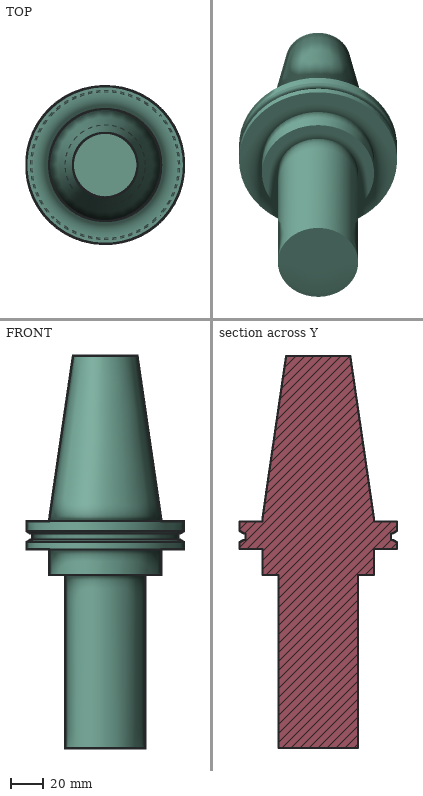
import cadquery as cq
import math


gauge_diameter = 69.85
taper_length = 101.6
taper_ratio = 7 / 24
small_end_diameter = gauge_diameter - taper_ratio * taper_length

flange_diameter = 98.43
flange_top_z = -1.5
flange_bottom_z = -19.05
groove_floor_diameter = 91.29
groove_shoulder_diameter = 93.0
groove_centre_z = -11.1
groove_mouth_width = 7.0
groove_flank_angle = 30

collar_diameter = gauge_diameter
collar_bottom_z = -35.0
shaft_diameter = 50.0
shaft_bottom_z = -143.0


def cylinder(diameter, bottom_z, top_z):
    """Solid cylinder about Z between two heights."""
    return cq.Workplane("XY").workplane(offset=bottom_z).circle(diameter / 2).extrude(top_z - bottom_z)


def revolve_about_z(profile):
    """Full turn about Z of a closed (radius, height) outline."""
    return cq.Workplane("XZ").polyline(profile).close().revolve(360, (0, 0), (0, 1))


def taper_shank():
    """Cone narrowing upward from the gauge plane."""
    gauge_radius = gauge_diameter / 2
    small_radius = small_end_diameter / 2
    profile = [(0, 0), (gauge_radius, 0), (small_radius, taper_length), (0, taper_length)]
    return revolve_about_z(profile)


def flange_groove():
    """Ring cut from the flange rim: sloping flanks, then flat shoulders down to the floor."""
    floor_radius = groove_floor_diameter / 2
    shoulder_radius = groove_shoulder_diameter / 2
    rim_radius = flange_diameter / 2
    flank_height = (rim_radius - shoulder_radius) * math.tan(math.radians(groove_flank_angle))
    mouth_half = groove_mouth_width / 2
    floor_half = mouth_half - flank_height
    profile = [
        (floor_radius, groove_centre_z - floor_half),
        (shoulder_radius, groove_centre_z - floor_half),
        (rim_radius, groove_centre_z - mouth_half),
        (rim_radius, groove_centre_z + mouth_half),
        (shoulder_radius, groove_centre_z + floor_half),
        (floor_radius, groove_centre_z + floor_half),
    ]
    return revolve_about_z(profile)


flange = cylinder(flange_diameter, flange_bottom_z, flange_top_z).cut(flange_groove())
neck = cylinder(gauge_diameter, flange_top_z, 0)
collar = cylinder(collar_diameter, collar_bottom_z, flange_bottom_z)
shaft = cylinder(shaft_diameter, shaft_bottom_z, collar_bottom_z)

result = taper_shank().union(neck).union(flange).union(collar).union(shaft)